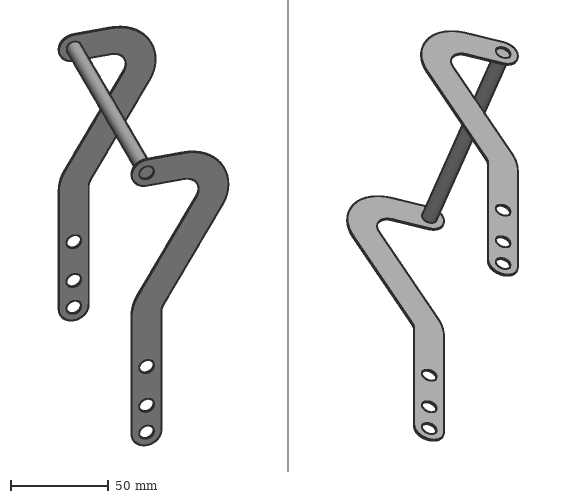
import cadquery as cq
import math

overall_width = 122.0
overall_depth = 52.2
overall_height = 176.5

strap_width = 16.0
strap_thickness = 1.0
bend_radius = 16.0
diagonal_angle = math.radians(30)

hole_diameter = 8.0
rod_diameter = hole_diameter
middle_hole_pitch = 16.5
upper_hole_pitch = 24.0

end_radius = strap_width / 2
bottom_hole_z = end_radius
middle_hole_z = bottom_hole_z + middle_hole_pitch
upper_hole_z = middle_hole_z + upper_hole_pitch
rod_z = overall_height - end_radius

upper_bend_y = overall_depth - strap_width - bend_radius
upper_bend_z = rod_z - bend_radius

lower_bend_y = bend_radius
sin_angle = math.sin(diagonal_angle)
cos_angle = math.cos(diagonal_angle)
diagonal_length = (upper_bend_y - lower_bend_y + 2 * bend_radius * cos_angle) / sin_angle
lower_bend_z = upper_bend_z - 2 * bend_radius * sin_angle - diagonal_length * cos_angle


def point_on_bend(center_y, center_z, angle):
    """Point of a bend's centreline arc, with the angle measured from +Y towards +Z."""
    return (
        center_y + bend_radius * math.cos(angle),
        center_z + bend_radius * math.sin(angle),
    )


def make_centreline():
    """Open path from the rod axis, round both bends, down to the bottom hole axis."""
    upper_mid_angle = (math.pi / 2 - diagonal_angle) / 2
    lower_start_angle = math.pi - diagonal_angle
    lower_mid_angle = math.pi - diagonal_angle / 2
    return (
        cq.Workplane("YZ")
        .moveTo(0, rod_z)
        .lineTo(upper_bend_y, rod_z)
        .threePointArc(
            point_on_bend(upper_bend_y, upper_bend_z, upper_mid_angle),
            point_on_bend(upper_bend_y, upper_bend_z, -diagonal_angle),
        )
        .lineTo(*point_on_bend(lower_bend_y, lower_bend_z, lower_start_angle))
        .threePointArc(
            point_on_bend(lower_bend_y, lower_bend_z, lower_mid_angle),
            (0, lower_bend_z),
        )
        .lineTo(0, bottom_hole_z)
        .wire()
    )


def make_strap(outer_x):
    """Bent strap with rounded ends, three mounting holes and a hole on the rod axis."""
    blank = make_centreline().offset2D(end_radius).extrude(strap_thickness)
    hole_positions = [(0, z) for z in (bottom_hole_z, middle_hole_z, upper_hole_z, rod_z)]
    holes = (
        cq.Workplane("YZ")
        .pushPoints(hole_positions)
        .circle(hole_diameter / 2)
        .extrude(strap_thickness)
    )
    return blank.cut(holes).translate((outer_x, 0, 0))


def make_rod():
    """Round cross rod, ending at the inner face of each strap in line with its rod hole."""
    rod_length = overall_width - 2 * strap_thickness
    return (
        cq.Workplane("YZ", origin=(-rod_length / 2, 0, rod_z))
        .circle(rod_diameter / 2)
        .extrude(rod_length)
    )


straps = []
for strap_x in (-overall_width / 2, overall_width / 2 - strap_thickness):
    straps.append(make_strap(strap_x).solids().val())

rod = make_rod()

result = cq.Compound.makeCompound([*straps, rod.val()])